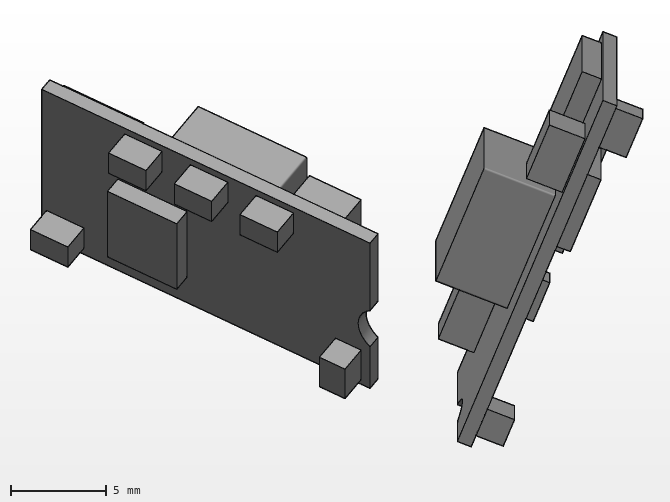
import cadquery as cq

board_length = 20.32
board_height = 11.4
board_thickness = 0.8

notch_bottom = 3.27
notch_top = 6.1
notch_depth = 0.73

terminal_long = 2.32
terminal_short = 1.58
terminal_depth = 1.58
top_terminal_left = 5.15
top_terminal_bottom = 9.37
top_terminal_pitch = 4.06
top_terminal_count = 3
left_terminal_corner = (0.3, 0.49)
right_terminal_corner = (18.19, 0.37)

chip_corner = (4.71, 2.01)
chip_length = 4.29
chip_height = 5.15
chip_depth = 1.02

inductor_corner = (6.62, 2.7)
inductor_side = 6.77
inductor_depth = 4.02
inductor_edge_radius = 0.1

plate_corner = (0.18, 4.05)
plate_length = 4.95
plate_height = 6.0
plate_depth = 1.1

capacitor_length = 3.2
capacitor_height = 2.52
capacitor_depth = 2.01
capacitor_corners = [(2.5, 0.6), (14.81, 8.27)]


def block(corner, length, depth, height, y_start):
    """Box whose lower-left corner is (X, Z), growing toward +Y from y_start."""
    x, z = corner
    return cq.Workplane("XY").box(length, depth, height, centered=False).translate((x, y_start, z))


def front_block(corner, length, depth, height):
    return block(corner, length, depth, height, -depth)


def back_block(corner, length, depth, height):
    return block(corner, length, depth, height, board_thickness)


def make_board():
    notch_middle = (notch_bottom + notch_top) / 2
    return (
        cq.Workplane("XZ")
        .lineTo(board_length, 0)
        .lineTo(board_length, notch_bottom)
        .threePointArc((board_length - notch_depth, notch_middle), (board_length, notch_top))
        .lineTo(board_length, board_height)
        .lineTo(0, board_height)
        .close()
        .extrude(-board_thickness)
    )


result = make_board()

for index in range(top_terminal_count):
    corner = (top_terminal_left + index * top_terminal_pitch, top_terminal_bottom)
    result = result.union(front_block(corner, terminal_long, terminal_depth, terminal_short))
result = result.union(front_block(left_terminal_corner, terminal_long, terminal_depth, terminal_short))
result = result.union(front_block(right_terminal_corner, terminal_short, terminal_depth, terminal_long))
result = result.union(front_block(chip_corner, chip_length, chip_depth, chip_height))

inductor = back_block(inductor_corner, inductor_side, inductor_depth, inductor_side)
result = result.union(inductor.edges("|Y").fillet(inductor_edge_radius))
result = result.union(back_block(plate_corner, plate_length, plate_depth, plate_height))
for corner in capacitor_corners:
    result = result.union(back_block(corner, capacitor_length, capacitor_depth, capacitor_height))